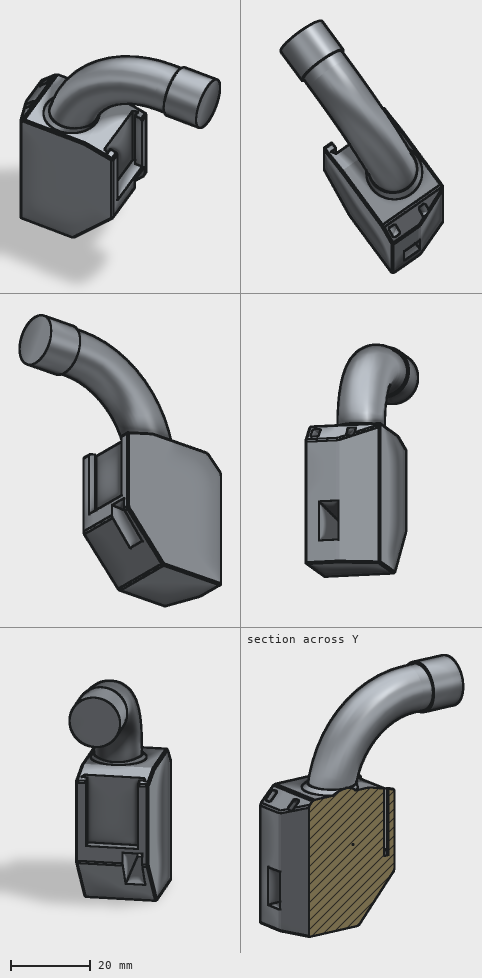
import cadquery as cq

LENGTH = 30.0
WIDTH = 18.6
HEIGHT = 36.0
FRONT_Y = -WIDTH / 2
REAR_Y = WIDTH / 2
EDGE_CHAMFER = 0.4
SELECT_MARGIN = 0.5

NOSE_CHAMFER = 4.4
ROOF_SLOPE_START = 22.0
ROOF_SLOPE_DROP = 2.1
HEEL_LENGTH = 11.3
HEEL_HEIGHT = 12.6
CHEEK_LENGTH = 3.7
CHEEK_WIDTH = 10.0

TUBE_DIAMETER = 12.0
SLEEVE_DIAMETER = 13.0
TOTAL_LENGTH = 52.25
TOTAL_HEIGHT = 62.98
SLEEVE_LENGTH = 9.2
STRAIGHT_LENGTH = 3.0
BEND_RADIUS = 26.0
BEND_ANGLE = 75.0
LEAN_ANGLE = 4.2
ROOT_OVERLAP_ANGLE = 6.0
TUBE_END_Y = 0.0

COLLAR_HEIGHT = 1.1
COLLAR_BASE = (14.15, -1.4)
COLLAR_TOP = (14.75, -1.4)
COLLAR_BASE_DIAMETER = 14.1
COLLAR_TOP_DIAMETER = 12.3

WINDOW_WIDTH = 5.0
WINDOW_HEIGHT = 10.0
WINDOW_BOTTOM = 5.8
WINDOW_CUT_LENGTH = 4 * LENGTH
WINDOW_CENTER_Y = 3.15
WINDOW_YAW = 4.0

TIE_CENTER_Y = 2.5
TIE_AXIS_OFFSET = 3.0
TIE_INNER_RADIUS = 4.65
TIE_OUTER_RADIUS = 6.4
TIE_WIDTH = 3.3
TIE_CORNER_RADIUS = 0.5

SLOT_FLOOR_Z = 17.0
SLOT_LIP = 2.0
SLOT_DEPTH = 3.2
SLOT_MOUTH_MARGIN = 2.65
SLOT_UNDERCUT_MARGIN = 1.05
SLOT_BACK_MARGIN = 1.75


def make_housing():
    side_outline = [
        (0, 0),
        (LENGTH - HEEL_LENGTH, 0),
        (LENGTH, HEEL_HEIGHT),
        (LENGTH, HEIGHT - ROOF_SLOPE_DROP),
        (ROOF_SLOPE_START, HEIGHT),
        (NOSE_CHAMFER, HEIGHT),
        (0, HEIGHT - NOSE_CHAMFER),
    ]
    plan_outline = [
        (CHEEK_LENGTH, FRONT_Y),
        (LENGTH, FRONT_Y),
        (LENGTH, REAR_Y),
        (0, REAR_Y),
        (0, FRONT_Y + CHEEK_WIDTH),
    ]
    side_plane = cq.Workplane("XZ", origin=(0, REAR_Y, 0))
    profile = side_plane.polyline(side_outline).close().extrude(WIDTH)
    plan = cq.Workplane("XY").polyline(plan_outline).close().extrude(HEIGHT)
    body = profile.intersect(plan)
    roof_bend = cq.selectors.BoxSelector(
        (ROOF_SLOPE_START - SELECT_MARGIN, FRONT_Y, HEIGHT - SELECT_MARGIN),
        (ROOF_SLOPE_START + SELECT_MARGIN, REAR_Y, HEIGHT + SELECT_MARGIN),
    )
    return body.edges(cq.selectors.InverseSelector(roof_bend)).chamfer(EDGE_CHAMFER)


def make_tube():
    sleeve_radius = SLEEVE_DIAMETER / 2
    axis_z = TOTAL_HEIGHT - sleeve_radius
    sleeve_start = TOTAL_LENGTH - SLEEVE_LENGTH
    bend_end = sleeve_start - STRAIGHT_LENGTH
    bend = (
        cq.Workplane("YZ", origin=(bend_end, TUBE_END_Y, axis_z))
        .circle(TUBE_DIAMETER / 2)
        .revolve(BEND_ANGLE + ROOT_OVERLAP_ANGLE, (1, -BEND_RADIUS, 0), (-1, -BEND_RADIUS, 0))
        .rotate((0, TUBE_END_Y, axis_z), (1, TUBE_END_Y, axis_z), -LEAN_ANGLE)
    )
    straight = (
        cq.Workplane("YZ", origin=(bend_end, TUBE_END_Y, axis_z))
        .circle(TUBE_DIAMETER / 2)
        .extrude(STRAIGHT_LENGTH)
    )
    sleeve = (
        cq.Workplane("YZ", origin=(sleeve_start, TUBE_END_Y, axis_z))
        .circle(sleeve_radius)
        .extrude(SLEEVE_LENGTH)
    )
    return bend.union(straight).union(sleeve)


def make_collar():
    return (
        cq.Workplane("XY", origin=(0, 0, HEIGHT))
        .center(*COLLAR_BASE)
        .circle(COLLAR_BASE_DIAMETER / 2)
        .workplane(offset=COLLAR_HEIGHT)
        .center(COLLAR_TOP[0] - COLLAR_BASE[0], COLLAR_TOP[1] - COLLAR_BASE[1])
        .circle(COLLAR_TOP_DIAMETER / 2)
        .loft(ruled=True)
    )


def make_window():
    return (
        cq.Workplane("XY")
        .box(WINDOW_CUT_LENGTH, WINDOW_WIDTH, WINDOW_HEIGHT, centered=(True, True, False))
        .rotate((0, 0, 0), (0, 0, 1), WINDOW_YAW)
        .translate((0, WINDOW_CENTER_Y, WINDOW_BOTTOM))
    )


def make_tie_passage():
    face_middle = (NOSE_CHAMFER / 2, TIE_CENTER_Y, HEIGHT - NOSE_CHAMFER / 2)
    up_the_face = cq.Plane(origin=face_middle, xDir=(0, 1, 0), normal=(1, 0, 1))
    return (
        cq.Workplane(up_the_face)
        .center(0, TIE_AXIS_OFFSET)
        .circle(TIE_OUTER_RADIUS)
        .circle(TIE_INNER_RADIUS)
        .extrude(TIE_WIDTH / 2, both=True)
        .edges()
        .fillet(TIE_CORNER_RADIUS)
    )


def make_back_slot():
    undercut_x = LENGTH - SLOT_LIP
    back_x = LENGTH - SLOT_DEPTH
    half_outline = [
        (LENGTH, REAR_Y - SLOT_MOUTH_MARGIN),
        (undercut_x, REAR_Y - SLOT_MOUTH_MARGIN),
        (undercut_x, REAR_Y - SLOT_UNDERCUT_MARGIN),
        (back_x, REAR_Y - SLOT_BACK_MARGIN),
    ]
    other_half = [(x, -y) for x, y in reversed(half_outline)]
    return (
        cq.Workplane("XY", origin=(0, 0, SLOT_FLOOR_Z))
        .polyline(half_outline + other_half)
        .close()
        .extrude(HEIGHT - SLOT_FLOOR_Z)
    )


housing = make_housing().cut(make_window()).cut(make_tie_passage()).cut(make_back_slot())
result = housing.union(make_collar()).union(make_tube())